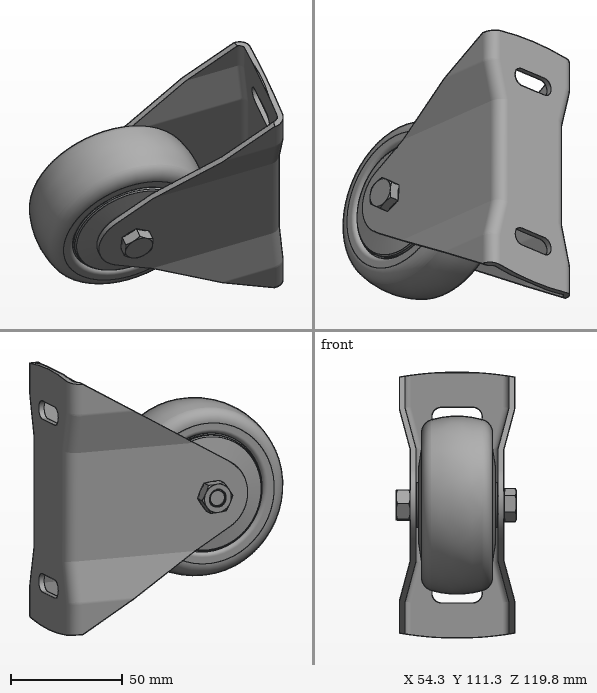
import cadquery as cq
import math


FORK_HEIGHT = 119.8
BACK_Y = 71.2
SHEET = 2.6
FLARE_HALF_WIDTH = 26.0
WAIST_HALF_WIDTH = 21.1
WAIST_HALF_HEIGHT = 24.9
JOG_ANGLE = 15.0
BEND_RADIUS = 3.8
BACK_CORNER_RADIUS = 5.4
PLATE_END_RADIUS = 149.8
TRIM_ALLOWANCE = 2.4
LEG_TIP_RADIUS = 17.3
LEG_EDGE_ANGLE = 30.0
SLOT_LENGTH = 22.5
SLOT_WIDTH = 8.4
SLOT_OUTER_Z = 44.0

TYRE_RADIUS = 40.1
TYRE_BORE_RADIUS = 32.4
WHEEL_HALF_WIDTH = 16.0
CROWN_HALF_WIDTH = 11.5
CROWN_EDGE_RADIUS = 38.5

LIP_OUTER_RADIUS = 29.4
GROOVE_OUTER_RADIUS = 27.3
DISC_RADIUS = 26.6
DISC_EDGE_X = 15.9
DISC_CHAMFER = 0.6
FACE_RADIUS = 16.8
FACE_X = 17.4
BOSS_RADIUS = 10.1
BOSS_X = 18.1

BOLT_RADIUS = 4.1
BOLT_END_CHAMFER = 0.6
BOLT_END_RECESS = 0.6
HEX_SIDES = 6
HEX_ACROSS_FLATS = 13.1
HEX_CHAMFER_ANGLE = 30.0
HEAD_HEIGHT = 5.3
WASHER_FACE_HEIGHT = 0.4
WASHER_FACE_RADIUS = 6.2
NUT_HEIGHT = 6.4

AXLE_TURN = -5.0


def waisted_block(inset, corner_radius, round_flare):
    """Solid with the fork's waisted outline, moved in by inset and rounded along its back edges.

    The bends at the flare are rounded if round_flare is true, otherwise those at the waist.
    """
    half_height = FORK_HEIGHT / 2 + TRIM_ALLOWANCE
    jog_angle = math.radians(JOG_ANGLE)
    waist_x = WAIST_HALF_WIDTH - inset
    flare_x = FLARE_HALF_WIDTH - inset
    waist_z = WAIST_HALF_HEIGHT + inset * math.tan(jog_angle / 2)
    flare_z = waist_z + (flare_x - waist_x) / math.tan(jog_angle)
    back_y = BACK_Y - inset
    right_side = [
        (flare_x, -half_height),
        (flare_x, -flare_z),
        (waist_x, -waist_z),
        (waist_x, waist_z),
        (flare_x, flare_z),
        (flare_x, half_height),
    ]
    left_side = [(-x, z) for x, z in reversed(right_side)]
    block = (
        cq.Workplane("XZ", origin=(0, back_y, 0))
        .polyline(right_side + left_side)
        .close()
        .extrude(back_y + LEG_TIP_RADIUS)
    )
    block = block.faces(">Y").edges("not |X").fillet(corner_radius)

    bend_z = flare_z if round_flare else waist_z
    for z in (-bend_z, bend_z):
        near_bend = cq.selectors.BoxSelector(
            (-FORK_HEIGHT, -FORK_HEIGHT, z - BEND_RADIUS / 2),
            (FORK_HEIGHT, FORK_HEIGHT, z + BEND_RADIUS / 2),
        )
        block = block.edges(near_bend).fillet(BEND_RADIUS)
    return block


def leg_envelope():
    """Rounded triangle that trims the legs, as seen along X: two edges tangent to the tip."""
    edge_angle = math.radians(LEG_EDGE_ANGLE)
    tangent_y = -LEG_TIP_RADIUS * math.sin(edge_angle)
    tangent_z = LEG_TIP_RADIUS * math.cos(edge_angle)
    back_z = tangent_z + (BACK_Y - tangent_y) * math.tan(edge_angle)
    return (
        cq.Workplane("YZ")
        .moveTo(BACK_Y, -back_z)
        .lineTo(tangent_y, -tangent_z)
        .threePointArc((-LEG_TIP_RADIUS, 0), (tangent_y, tangent_z))
        .lineTo(BACK_Y, back_z)
        .close()
        .extrude(FLARE_HALF_WIDTH, both=True)
    )


def plate_envelope():
    """Block with arched top and bottom that trims the ends of the back plate."""
    side_z = FORK_HEIGHT / 2 - PLATE_END_RADIUS
    side_z += math.sqrt(PLATE_END_RADIUS**2 - FLARE_HALF_WIDTH**2)
    return (
        cq.Workplane("XZ", origin=(0, BACK_Y, 0))
        .moveTo(-FLARE_HALF_WIDTH, -side_z)
        .threePointArc((0, -FORK_HEIGHT / 2), (FLARE_HALF_WIDTH, -side_z))
        .lineTo(FLARE_HALF_WIDTH, side_z)
        .threePointArc((0, FORK_HEIGHT / 2), (-FLARE_HALF_WIDTH, side_z))
        .close()
        .extrude(BACK_Y + LEG_TIP_RADIUS)
    )


def make_fork():
    outside = waisted_block(0, BACK_CORNER_RADIUS, round_flare=True)
    inside = waisted_block(SHEET, BACK_CORNER_RADIUS - SHEET, round_flare=False)
    slot_z = SLOT_OUTER_Z - SLOT_WIDTH / 2
    slots = (
        cq.Workplane("XZ", origin=(0, BACK_Y, 0))
        .pushPoints([(0, -slot_z), (0, slot_z)])
        .slot2D(SLOT_LENGTH, SLOT_WIDTH)
        .extrude(SHEET)
    )
    bolt_hole = cq.Workplane("YZ").circle(BOLT_RADIUS).extrude(FLARE_HALF_WIDTH, both=True)
    fork = outside.cut(inside).intersect(leg_envelope()).intersect(plate_envelope())
    return fork.cut(slots).cut(bolt_hole)


def revolve_about_axle(outline):
    """Revolve a closed outline, drawn with X along the axle and Z as radius, about the axle."""
    return outline.revolve(360, (0, 0, 0), (1, 0, 0))


def turned(body):
    return body.rotate((0, 0, 0), (1, 0, 0), AXLE_TURN)


def make_tyre():
    """Tyre whose shoulder arcs leave the crown arc without a corner."""
    crown_slope = 2 * math.atan((TYRE_RADIUS - CROWN_EDGE_RADIUS) / CROWN_HALF_WIDTH)
    shoulder_width = WHEEL_HALF_WIDTH - CROWN_HALF_WIDTH
    shoulder_height = CROWN_EDGE_RADIUS - TYRE_BORE_RADIUS
    chord = math.hypot(shoulder_width, shoulder_height)
    chord_slope = math.atan2(shoulder_height, shoulder_width)
    shoulder_radius = chord / (2 * math.sin(chord_slope - crown_slope))
    tyre = revolve_about_axle(
        cq.Workplane("XZ")
        .moveTo(-WHEEL_HALF_WIDTH, TYRE_BORE_RADIUS)
        .radiusArc((-CROWN_HALF_WIDTH, CROWN_EDGE_RADIUS), shoulder_radius)
        .threePointArc((0, TYRE_RADIUS), (CROWN_HALF_WIDTH, CROWN_EDGE_RADIUS))
        .radiusArc((WHEEL_HALF_WIDTH, TYRE_BORE_RADIUS), shoulder_radius)
        .close()
    )
    return turned(tyre)


def make_hub():
    lip_radius = LIP_OUTER_RADIUS - GROOVE_OUTER_RADIUS
    groove_x = WHEEL_HALF_WIDTH - lip_radius
    half_hub = revolve_about_axle(
        cq.Workplane("XZ")
        .moveTo(0, BOLT_RADIUS)
        .lineTo(BOSS_X, BOLT_RADIUS)
        .lineTo(BOSS_X, BOSS_RADIUS)
        .lineTo(FACE_X, BOSS_RADIUS)
        .lineTo(FACE_X, FACE_RADIUS)
        .lineTo(DISC_EDGE_X, DISC_RADIUS - DISC_CHAMFER)
        .lineTo(DISC_EDGE_X - DISC_CHAMFER, DISC_RADIUS)
        .lineTo(groove_x, DISC_RADIUS)
        .lineTo(groove_x, GROOVE_OUTER_RADIUS)
        .radiusArc((WHEEL_HALF_WIDTH, LIP_OUTER_RADIUS), -lip_radius)
        .lineTo(WHEEL_HALF_WIDTH, TYRE_BORE_RADIUS)
        .lineTo(0, TYRE_BORE_RADIUS)
        .close()
    )
    return turned(half_hub.union(half_hub.mirror("YZ")))


def hexagon(start_x, height):
    """Hexagonal prism along +X with two corners on the Y axis and its far corners chamfered."""
    flat_radius = HEX_ACROSS_FLATS / 2
    corner_radius = flat_radius / math.cos(math.pi / HEX_SIDES)
    chamfer_depth = (corner_radius - flat_radius) * math.tan(math.radians(HEX_CHAMFER_ANGLE))
    prism = (
        cq.Workplane("YZ", origin=(start_x, 0, 0))
        .polygon(HEX_SIDES, 2 * corner_radius)
        .extrude(height)
    )
    end_x = start_x + height
    chamfer_cone = revolve_about_axle(
        cq.Workplane("XZ")
        .moveTo(start_x, 0)
        .lineTo(start_x, corner_radius)
        .lineTo(end_x - chamfer_depth, corner_radius)
        .lineTo(end_x, flat_radius)
        .lineTo(end_x, 0)
        .close()
    )
    return prism.intersect(chamfer_cone)


def make_bolt():
    """Bolt with its head on the +X leg and its threaded end inside the nut on the -X leg."""
    end_x = -(WAIST_HALF_WIDTH + NUT_HEIGHT - BOLT_END_RECESS)
    shank = (
        cq.Workplane("YZ", origin=(end_x, 0, 0))
        .circle(BOLT_RADIUS)
        .extrude(WAIST_HALF_WIDTH - end_x)
        .faces("<X")
        .chamfer(BOLT_END_CHAMFER)
    )
    washer_face = (
        cq.Workplane("YZ", origin=(WAIST_HALF_WIDTH, 0, 0))
        .circle(WASHER_FACE_RADIUS)
        .extrude(WASHER_FACE_HEIGHT)
    )
    head = hexagon(WAIST_HALF_WIDTH + WASHER_FACE_HEIGHT, HEAD_HEIGHT)
    half_side_angle = 180 / HEX_SIDES
    head = head.rotate((0, 0, 0), (1, 0, 0), half_side_angle)
    return turned(shank.union(washer_face).union(head))


def make_nut():
    """Nut on the -X leg, with its corners chamfered on both faces."""
    outer_chamfered = hexagon(WAIST_HALF_WIDTH, NUT_HEIGHT).mirror("YZ")
    inner_chamfered = hexagon(-WAIST_HALF_WIDTH - NUT_HEIGHT, NUT_HEIGHT)
    thread = (
        cq.Workplane("YZ", origin=(-WAIST_HALF_WIDTH, 0, 0)).circle(BOLT_RADIUS).extrude(-NUT_HEIGHT)
    )
    return turned(outer_chamfered.intersect(inner_chamfered).cut(thread))


fork = make_fork()
tyre = make_tyre()
hub = make_hub()
bolt = make_bolt()
nut = make_nut()
result = cq.Compound.makeCompound([fork.val(), tyre.val(), hub.val(), bolt.val(), nut.val()])